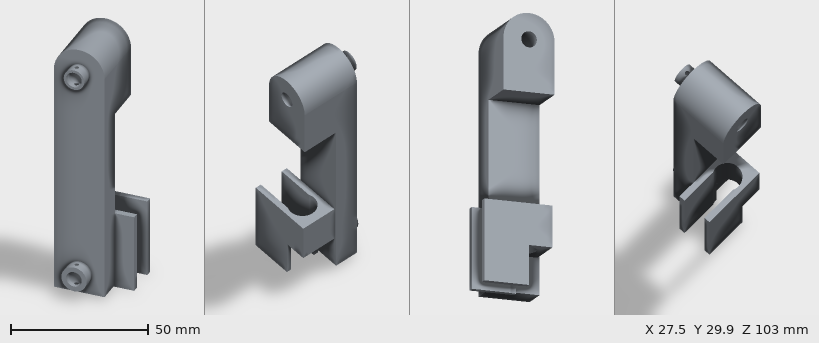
import cadquery as cq

arm_width = 20.0
arm_depth = 10.0
head_depth = 25.0
head_height = 30.0
arm_radius = arm_width / 2
arm_height = 102.0
boss_spacing = 84.0
boss_length = 4.9
bore_diameter = 6.1
upper_boss_diameter = 8.1
lower_boss_diameter = 10.0
cross_hole_diameter = 1.8

overall_height = 103.0
fork_left = -9.2
fork_right = 17.5
fork_top = -62.0
fork_block_height = 15.9
fork_gap = 0.1
fork_slot_width = 10.0
fork_hole_diameter = 11.0

arm_bottom = arm_radius - arm_height
head_bottom = arm_radius - head_height
fork_bottom = arm_radius - overall_height
fork_block_bottom = fork_top - fork_block_height
fork_front = arm_depth + fork_gap
fork_center_y = (fork_front + head_depth) / 2
bosses = [(0, upper_boss_diameter), (-boss_spacing, lower_boss_diameter)]


def box(x_range, y_range, z_range):
    """Make a box from its lower and upper limits along each axis."""
    limits = (x_range, y_range, z_range)
    size = [high - low for low, high in limits]
    corner = [low for low, high in limits]
    return cq.Workplane("XY").box(*size, centered=False).translate(tuple(corner))


def cylinder_along_y(diameter, z, y_start, y_end):
    """Make a cylinder on x = 0 that runs along Y at height z."""
    return cq.Workplane(
        cq.Solid.makeCylinder(diameter / 2, y_end - y_start, cq.Vector(0, y_start, z), cq.Vector(0, 1, 0))
    )


def make_arm():
    """Make the round-topped arm with a deep head and two bored, cross-drilled bosses."""
    sides = (-arm_radius, arm_radius)
    arm = box(sides, (0, arm_depth), (arm_bottom, 0))
    arm = arm.union(box(sides, (0, head_depth), (head_bottom, 0)))
    arm = arm.union(cylinder_along_y(arm_width, 0, 0, head_depth))
    for z, diameter in bosses:
        arm = arm.union(cylinder_along_y(diameter, z, -boss_length, 0))
    for z, diameter in bosses:
        arm = arm.cut(cylinder_along_y(bore_diameter, z, -boss_length, head_depth))
        cross_hole = (
            cq.Workplane("XY", origin=(0, -boss_length / 2, z))
            .circle(cross_hole_diameter / 2)
            .extrude(diameter / 2, both=True)
        )
        arm = arm.cut(cross_hole)
    return arm


def make_fork():
    """Make the fork: a block and two legs, split by a round hole and a narrower slot toward +X."""
    y_range = (fork_front, head_depth)
    fork = box((fork_left, fork_right), y_range, (fork_block_bottom, fork_top))
    fork = fork.union(box((0, fork_right), y_range, (fork_bottom, fork_top)))
    round_hole = (
        cq.Workplane("XY", origin=(0, fork_center_y, fork_bottom))
        .circle(fork_hole_diameter / 2)
        .extrude(fork_top - fork_bottom)
    )
    slot_sides = (fork_center_y - fork_slot_width / 2, fork_center_y + fork_slot_width / 2)
    slot = box((0, fork_right), slot_sides, (fork_bottom, fork_top))
    return fork.cut(round_hole).cut(slot)


arm = make_arm()
fork = make_fork()
result = cq.Compound.makeCompound([arm.val(), fork.val()])